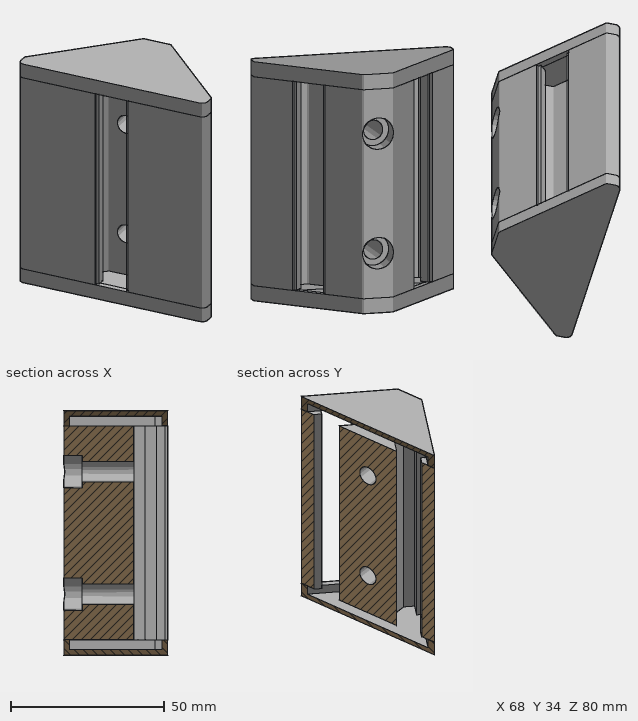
import cadquery as cq

width = 68.0
depth = 34.0
height = 80.0
cap_thickness = 5.0
profile_height = height - 2 * cap_thickness

side_height = 5.0
half_width = width / 2
back_half_width = half_width - (depth - side_height)
front_corner_radius = 2.0
flank_corner_radius = 1.0

mouth_width = 12.2
mouth_depth = 1.0
neck_width = 10.0
neck_depth = 3.8
chamber_width = 20.0
slot_depth = 11.0
slot_floor_width = 12.6
slot_floor_radius = 1.0

hole_diameter = 6.5
counterbore_diameter = 10.5
counterbore_depth = 6.0
hole_spacing = 40.0

cap_wall = 1.9


def sharp_outline():
    """Triangular section with its corners still sharp."""
    return (
        cq.Workplane("XY")
        .moveTo(-half_width, 0)
        .lineTo(half_width, 0)
        .lineTo(half_width, side_height)
        .lineTo(back_half_width, depth)
        .lineTo(-back_half_width, depth)
        .lineTo(-half_width, side_height)
        .close()
    )


def outline_prism(length):
    """Solid of the section with rounded corners, standing on Z = 0."""
    prism = sharp_outline().extrude(length)
    prism = prism.edges("|Z").edges("<Y").fillet(front_corner_radius)
    prism = prism.edges("|Z").edges("<X or >X").edges(">Y").fillet(flank_corner_radius)
    return prism.edges("|Z").edges(">Y").fillet(flank_corner_radius)


def slot_cutter():
    """T-slot with a stepped mouth and a 45 degree tapered chamber, opening toward -Y at Y = 0."""
    taper_start = slot_depth - (chamber_width - slot_floor_width) / 2
    half_section = [
        (mouth_width / 2, 0),
        (mouth_width / 2, mouth_depth),
        (neck_width / 2, mouth_depth),
        (neck_width / 2, neck_depth),
        (chamber_width / 2, neck_depth),
        (chamber_width / 2, taper_start),
        (slot_floor_width / 2, slot_depth),
    ]
    mirrored = [(-x, y) for x, y in reversed(half_section)]
    cutter = cq.Workplane("XY").polyline(half_section + mirrored).close().extrude(profile_height)
    return cutter.edges("|Z").edges(">Y").fillet(slot_floor_radius)


def make_profile():
    """Extruded bar with three slots and two counterbored holes."""
    flank_x = (half_width + back_half_width) / 2
    flank_y = (side_height + depth) / 2
    flank_turn = 135

    profile = outline_prism(profile_height).cut(slot_cutter())
    for side in (-1, 1):
        flank_slot = slot_cutter().rotate((0, 0, 0), (0, 0, 1), side * flank_turn)
        profile = profile.cut(flank_slot.translate((side * flank_x, flank_y, 0)))

    back_plane = cq.Plane(origin=(0, depth, profile_height / 2), xDir=(-1, 0, 0), normal=(0, 1, 0))
    profile = (
        cq.Workplane(back_plane)
        .add(profile)
        .pushPoints([(0, -hole_spacing / 2), (0, hole_spacing / 2)])
        .cboreHole(hole_diameter, counterbore_diameter, counterbore_depth)
    )
    return profile.translate((0, 0, cap_thickness))


def make_cap():
    """Bottom end cap: a closed plate with a rim that meets the profile, hollow side up."""
    hollow = sharp_outline().offset2D(-cap_wall).extrude(cap_thickness - cap_wall)
    return outline_prism(cap_thickness).cut(hollow.translate((0, 0, cap_wall)))


profile = make_profile()
bottom_cap = make_cap()
top_cap = bottom_cap.mirror("XY").translate((0, 0, height))

result = cq.Compound.makeCompound([profile.val(), bottom_cap.val(), top_cap.val()])